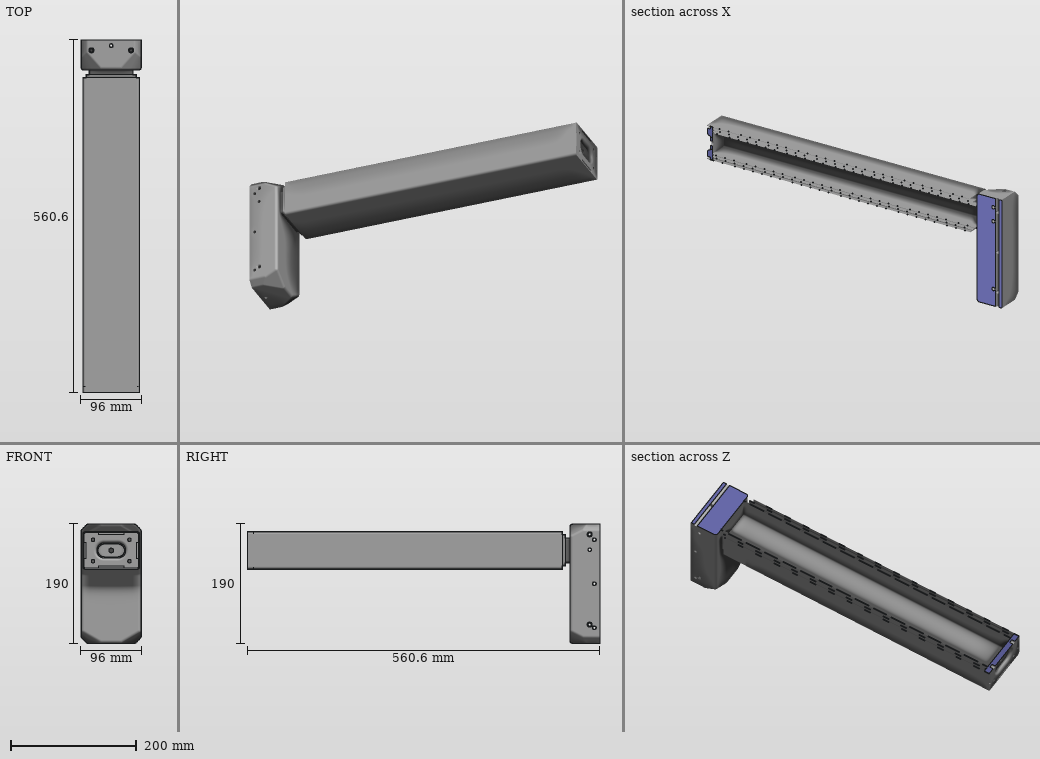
import cadquery as cq
import math

total_length = 560.6

housing_width = 96.0
housing_depth = 48.0
housing_height = 190.0
corner_chamfer = 10.0
edge_fillet = 5.0
facet_run_x = 35.0
facet_run_y = 39.0
facet_run_z = 20.0

hole_diameter = 5.2
screw_head_diameter = 8.0
countersink_angle = 90.0
screw_depth = 12.0
screw_spacing = 63.0
rear_hole_setback = 9.0
front_hole_setback = 16.5
rear_hole_heights = (-70.0, 0.0, 70.0)
upper_hole_height = 54.0
side_screw_heights = (-65.0, 78.5)

column_height = 52.9
outer_width = 90.0
outer_height = 60.0
stage_step = 10.0
tube_wall = 1.8
tube_fillet = 4.0
inner_exposed = 7.0
middle_exposed = 5.0

plate_thickness = 10.0
notch_width = 3.2
notch_depth = 6.0
notch_length_x = 40.0
notch_length_z = 26.0
plate_hole_diameter = 5.5
plate_hole_spacing_x = 58.0
plate_hole_spacing_z = 34.0
plate_hole_depth = 6.0

slot_straight = 22.0
pocket_radius = 12.0
pocket_lip_fillet = 5.0
rim_margin = 1.0
pocket_depth = 6.0
plug_radius = 10.0
drive_hole_diameter = 7.5

housing_front = -housing_depth
middle_start = housing_front - inner_exposed
outer_start = middle_start - middle_exposed
column_end = -total_length
plate_back = column_end + plate_thickness
bore_width = outer_width - 2 * tube_wall
bore_height = outer_height - 2 * tube_wall


def column_plane(y):
    """XZ plane on the column axis at the given Y; its normal points to -Y."""
    return cq.Workplane("XZ", origin=(0, y, column_height))


def oblong(plane, radius, depth):
    """Round-ended block of the given end radius, running toward -Y if depth is positive."""
    return plane.slot2D(slot_straight + 2 * radius, 2 * radius).extrude(depth)


def corner_facet(side, end):
    """Tetrahedron that cuts a slanted facet off one front corner of the housing."""
    x = side * housing_width / 2
    y = housing_front
    z = end * housing_height / 2
    corner = cq.Vector(x, y, z)
    on_x = cq.Vector(x - side * facet_run_x, y, z)
    on_y = cq.Vector(x, y + facet_run_y, z)
    on_z = cq.Vector(x, y, z - end * facet_run_z)
    faces = [
        cq.Face.makeFromWires(cq.Wire.makePolygon(triangle, close=True))
        for triangle in (
            (corner, on_x, on_y),
            (corner, on_y, on_z),
            (corner, on_z, on_x),
            (on_x, on_y, on_z),
        )
    ]
    return cq.Workplane(cq.Solid.makeSolid(cq.Shell.makeShell(faces)))


def countersunk_holes(places, depth):
    """Cutters for countersunk screw holes, going down from the given points of a workplane."""
    hole_radius = hole_diameter / 2
    head_radius = screw_head_diameter / 2
    sink_depth = (head_radius - hole_radius) / math.tan(math.radians(countersink_angle / 2))
    half_profile = [
        (0, 0),
        (head_radius, 0),
        (hole_radius, -sink_depth),
        (hole_radius, -depth),
        (0, -depth),
    ]
    cutter = cq.Workplane("XZ").polyline(half_profile).close().revolve(360, (0, 0), (0, 1)).val()
    return places.eachpoint(lambda place: cutter.moved(place), useLocalCoordinates=True)


def make_housing():
    body = cq.Workplane("XZ").rect(housing_width, housing_height).extrude(housing_depth)
    body = body.edges("|Y").chamfer(corner_chamfer)
    for side in (-1, 1):
        for end in (-1, 1):
            body = body.cut(corner_facet(side, end))
    body = body.edges("not(>Y)").fillet(edge_fillet)

    plain_holes = [(-rear_hole_setback, z) for z in rear_hole_heights]
    plain_holes.append((-front_hole_setback, upper_hole_height))
    across = cq.Workplane("YZ").pushPoints(plain_holes).circle(hole_diameter / 2)
    body = body.cut(across.extrude(housing_width / 2, both=True))

    side_screws = [(-front_hole_setback, z) for z in side_screw_heights]
    for side in (-1, 1):
        wall_origin = (side * housing_width / 2, 0, 0)
        wall = cq.Workplane(cq.Plane(wall_origin, xDir=(0, side, 0), normal=(side, 0, 0)))
        places = [(side * y, z) for y, z in side_screws]
        body = body.cut(countersunk_holes(wall.pushPoints(places), housing_width / 2))

    down = cq.Workplane("XY", origin=(0, -rear_hole_setback, 0)).circle(hole_diameter / 2)
    body = body.cut(down.extrude(housing_height / 2, both=True))
    top = cq.Workplane("XY", origin=(0, -front_hole_setback, housing_height / 2))
    return body.cut(countersunk_holes(top.rarray(screw_spacing, 1, 2, 1), screw_depth))


def make_stage(index, start, end):
    """Tube of the column; index 0 is the outermost stage."""
    width = outer_width - index * stage_step
    height = outer_height - index * stage_step
    length = start - end
    body = column_plane(start).rect(width, height).extrude(length).edges("|Y").fillet(tube_fillet)
    bore = column_plane(start).rect(width - 2 * tube_wall, height - 2 * tube_wall).extrude(length)
    return body.cut(bore.edges("|Y").fillet(tube_fillet - tube_wall))


def make_end_plate():
    body = column_plane(plate_back).rect(bore_width, bore_height).extrude(plate_thickness)
    body = body.edges("|Y").fillet(tube_fillet - tube_wall)

    face = column_plane(column_end)
    side_notches = face.rarray(bore_width, 1, 2, 1).rect(2 * notch_width, notch_length_z)
    body = body.cut(side_notches.extrude(-notch_depth))
    end_notches = face.rarray(1, bore_height, 1, 2).rect(notch_length_x, 2 * notch_width)
    body = body.cut(end_notches.extrude(-notch_depth))

    body = body.cut(oblong(face, pocket_radius, -pocket_depth))
    half_length = slot_straight / 2 + pocket_radius
    rim = cq.selectors.BoxSelector(
        (-half_length, column_end - rim_margin, column_height - pocket_radius),
        (half_length, column_end + rim_margin, column_height + pocket_radius),
    )
    body = body.edges(rim).fillet(pocket_lip_fillet)
    body = body.cut(oblong(column_plane(plate_back), plug_radius, plate_thickness))

    holes = face.rarray(plate_hole_spacing_x, plate_hole_spacing_z, 2, 2)
    return body.cut(holes.circle(plate_hole_diameter / 2).extrude(-plate_hole_depth))


def make_plug():
    """Plug that fills the opening in the pocket floor, with the drive hole through its middle."""
    length = plate_thickness - pocket_depth
    body = oblong(column_plane(plate_back), plug_radius, length)
    return body.cut(column_plane(plate_back).circle(drive_hole_diameter / 2).extrude(length))


housing = make_housing()
inner_stage = make_stage(2, housing_front, plate_back)
middle_stage = make_stage(1, middle_start, plate_back)
outer_stage = make_stage(0, outer_start, column_end)
end_plate = make_end_plate()
plug = make_plug()

bodies = [housing, inner_stage, middle_stage, outer_stage, end_plate, plug]
result = cq.Compound.makeCompound([body.solids().val() for body in bodies])